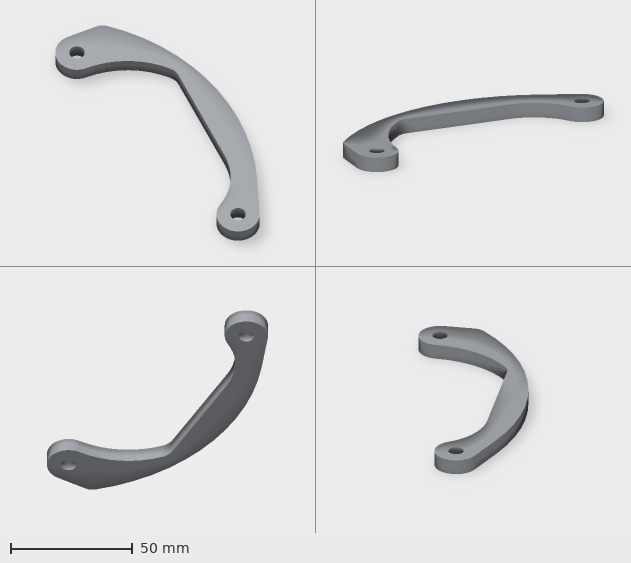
import cadquery as cq
import math

length = 121.1
width = 55.0
thickness = 6.3

eye_diameter = 17.8
hole_diameter = 6.3
right_eye_rise = 25.4

outer_radius = 88.4
outer_center_x = 58.2
left_inner_radius = 40.9
right_inner_radius = 25.7
inner_flat_y = 33.0
outer_corner_radius = 6.0
inner_corner_radius = 7.0

eye_radius = eye_diameter / 2
left_eye = (0.0, 0.0)
right_eye = (length - eye_diameter, right_eye_rise)
outer_center = (outer_center_x, width - eye_radius - outer_radius)


def polar(center, radius, angle):
    """Point on a circle at an angle in radians."""
    return (center[0] + radius * math.cos(angle), center[1] + radius * math.sin(angle))


eye_offset_x = right_eye[0] - outer_center[0]
eye_offset_y = right_eye[1] - outer_center[1]
center_distance = math.hypot(eye_offset_x, eye_offset_y)
tangent_angle = math.atan2(eye_offset_y, eye_offset_x) + math.acos(
    (outer_radius - eye_radius) / center_distance
)
outer_end = polar(outer_center, outer_radius, tangent_angle)
right_eye_start = polar(right_eye, eye_radius, tangent_angle)

left_side_x = -eye_radius
corner_angle = math.acos((left_side_x - outer_center[0]) / outer_radius)
outer_corner = polar(outer_center, outer_radius, corner_angle)
outer_middle = polar(outer_center, outer_radius, (corner_angle + tangent_angle) / 2)

right_inner_y = inner_flat_y - right_inner_radius
drop_to_arc_center = right_eye[1] - right_inner_y
reach_to_arc_center = math.sqrt((right_inner_radius + eye_radius) ** 2 - drop_to_arc_center**2)
right_inner_center = (right_eye[0] - reach_to_arc_center, right_inner_y)
contact_angle = math.atan2(drop_to_arc_center, reach_to_arc_center)
right_eye_end = polar(right_inner_center, right_inner_radius, contact_angle)
right_inner_middle = polar(right_inner_center, right_inner_radius, (contact_angle + math.pi / 2) / 2)
flat_right_end = (right_inner_center[0], inner_flat_y)

right_eye_middle = polar(right_eye, eye_radius, (tangent_angle + contact_angle - math.pi) / 2)

left_inner_center = (eye_radius + left_inner_radius, 0.0)
inner_corner_angle = math.pi - math.asin(inner_flat_y / left_inner_radius)
inner_corner = polar(left_inner_center, left_inner_radius, inner_corner_angle)
left_inner_middle = polar(left_inner_center, left_inner_radius, (inner_corner_angle + math.pi) / 2)

body = (
    cq.Workplane("XY")
    .moveTo(left_side_x, 0)
    .lineTo(*outer_corner)
    .threePointArc(outer_middle, outer_end)
    .lineTo(*right_eye_start)
    .threePointArc(right_eye_middle, right_eye_end)
    .threePointArc(right_inner_middle, flat_right_end)
    .lineTo(*inner_corner)
    .threePointArc(left_inner_middle, (eye_radius, 0))
    .threePointArc((0, -eye_radius), (left_side_x, 0))
    .close()
    .extrude(thickness)
)

for corner, radius in ((outer_corner, outer_corner_radius), (inner_corner, inner_corner_radius)):
    corner_edge = cq.selectors.NearestToPointSelector((*corner, thickness / 2))
    body = body.edges("|Z").edges(corner_edge).fillet(radius)

holes = (
    cq.Workplane("XY")
    .pushPoints([left_eye, right_eye])
    .circle(hole_diameter / 2)
    .extrude(thickness)
)

result = body.cut(holes)